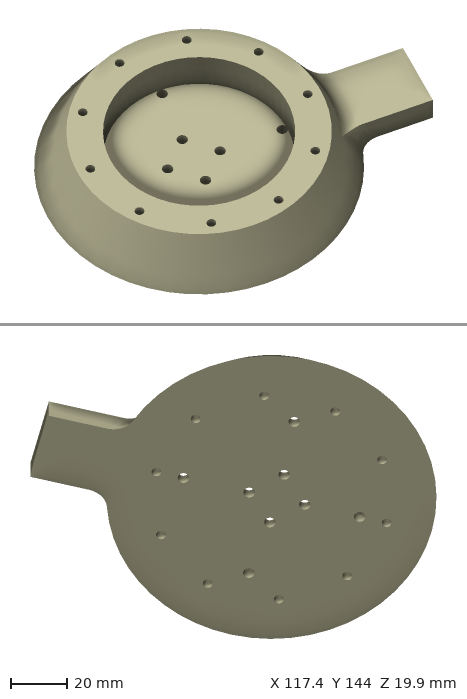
import cadquery as cq
import math

total_length = 144.0
base_radius = 58.7
height = 19.9
draft_angle = 30.0
top_radius = base_radius - height * math.tan(math.radians(draft_angle))

tab_width = 26.2
tab_height = height / 2
tab_end = total_length - base_radius
blend_radius = 7.2

pocket_diameter = 68.4
floor_thickness = 4.9

rim_hole_diameter = 3.5
rim_hole_count = 10
rim_hole_circle_radius = 42.3
floor_hole_diameter = 4.0
floor_hole_count = 4
outer_hole_circle_radius = 32.4
inner_hole_circle_radius = 10.2
inner_pattern_offset = -2.0


def hole_circle(count, circle_radius, diameter, depth, center_y=0):
    """Vertical cutters rising from the bottom face, with the first one toward +Y."""
    return (
        cq.Workplane("XY")
        .center(0, center_y)
        .polarArray(circle_radius, 90, 360, count)
        .circle(diameter / 2)
        .extrude(depth)
    )


def tapered_body():
    """Conical disc, wide end down."""
    profile = [(0, 0), (base_radius, 0), (top_radius, height), (0, height)]
    return cq.Workplane("XZ").polyline(profile).close().revolve(360, (0, 0), (0, 1))


def tab():
    """Flat bar running from the disc center out past its edge."""
    return cq.Workplane("XY").box(tab_width, tab_end, tab_height, centered=(True, False, False))


body = tapered_body().union(tab())
joint_zone = cq.selectors.BoxSelector(
    (-tab_width, top_radius, tab_height / 4),
    (tab_width, base_radius, tab_height * 1.1),
)
body = body.edges(joint_zone).fillet(blend_radius)

pocket = cq.Workplane("XY").workplane(offset=floor_thickness).circle(pocket_diameter / 2).extrude(height)
body = body.cut(pocket)

body = body.cut(hole_circle(rim_hole_count, rim_hole_circle_radius, rim_hole_diameter, height))
body = body.cut(
    hole_circle(floor_hole_count, outer_hole_circle_radius, floor_hole_diameter, floor_thickness)
)
body = body.cut(
    hole_circle(
        floor_hole_count, inner_hole_circle_radius, floor_hole_diameter, floor_thickness, inner_pattern_offset
    )
)

result = body